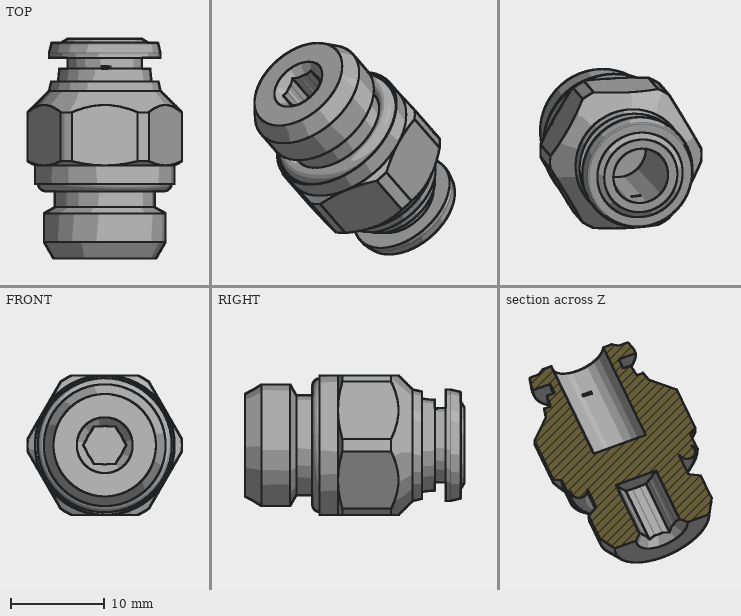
import cadquery as cq
import math

total_length = 23.6
chamfer_slope = math.tan(math.radians(30))

thread_radius = 6.54
thread_tip_radius = 5.5
thread_tip_length = (thread_radius - thread_tip_radius) / chamfer_slope
thread_end = 4.85
undercut_radius = 5.38
undercut_start = thread_end + (thread_radius - undercut_radius) * chamfer_slope

ring_outer_radius = 7.2
ring_front = 7.22
ring_section_radius = (ring_outer_radius - undercut_radius) / 2
ring_center_radius = undercut_radius + ring_section_radius
ring_center_y = ring_front + ring_section_radius
seat_mouth_radius = 7.45

across_flats = 15.0
corner_diameter = 16.6
flange_radius = across_flats / 2
corner_radius = corner_diameter / 2
flange_start = 8.0
hex_start = 10.0
hex_full_start = hex_start + (corner_radius - flange_radius) * chamfer_slope
shoulder_radius = 6.0
shoulder_y = 18.0
hex_full_end = shoulder_y - (corner_radius - shoulder_radius)
rim_radius = 5.75
body_end = 19.02

collar_base_radius = 5.03
collar_end_radius = 4.89
collar_end = 20.4

neck_radius = 4.01
button_start = 21.55
button_radius = shoulder_radius
button_taper_start = 22.07
button_rim_radius = rim_radius
button_edge_radius = 0.15
button_face_y = 23.18
lip_base_radius = 4.67
lip_end_radius = 4.01

socket_across_flats = 4.01
socket_drill_radius = 2.05
socket_depth = ring_front
socket_mouth_radius = 3.0
tube_radius = 3.0
tube_depth = 11.8
slot_width = 0.97
slot_end = 20.63
slot_angle = 2.3


def revolve_about_y(sketch):
    return sketch.close().revolve(360, (0, 0, 0), (0, 1, 0))


def hex_prism(flats, start, end):
    """Hexagon along Y with two corners on the X axis."""
    corner_to_corner = flats / math.cos(math.radians(30))
    plane = cq.Workplane("XZ", origin=(0, start, 0))
    return plane.polygon(6, corner_to_corner).extrude(start - end)


def ring_point(angle):
    """Point of the O-ring section, with the angle measured from outward toward +Y."""
    return (
        ring_center_radius + ring_section_radius * math.cos(angle),
        ring_center_y + ring_section_radius * math.sin(angle),
    )


def make_turned_body():
    mouth_out = seat_mouth_radius - ring_center_radius
    mouth_back = flange_start - ring_center_y
    mouth_distance = math.hypot(mouth_out, mouth_back)
    mouth_angle = math.atan2(mouth_back, mouth_out)
    contact_angle = mouth_angle + math.acos(ring_section_radius / mouth_distance)

    profile = (
        cq.Workplane("XY")
        .lineTo(thread_tip_radius, 0)
        .lineTo(thread_radius, thread_tip_length)
        .lineTo(thread_radius, thread_end)
        .lineTo(undercut_radius, undercut_start)
        .lineTo(undercut_radius, ring_center_y)
        .threePointArc(ring_point(-math.pi / 2), ring_point(0))
        .threePointArc(ring_point(contact_angle / 2), ring_point(contact_angle))
        .lineTo(seat_mouth_radius, flange_start)
        .lineTo(flange_radius, flange_start)
        .lineTo(flange_radius, hex_start)
        .lineTo(0, hex_start)
    )
    return revolve_about_y(profile)


def make_hex_body():
    """Hexagon with rounded corners, chamfered in front and coned down to a rim behind."""
    envelope = revolve_about_y(
        cq.Workplane("XY")
        .moveTo(0, hex_start)
        .lineTo(flange_radius, hex_start)
        .lineTo(corner_radius, hex_full_start)
        .lineTo(corner_radius, hex_full_end)
        .lineTo(shoulder_radius, shoulder_y)
        .lineTo(rim_radius, body_end)
        .lineTo(0, body_end)
    )
    return hex_prism(across_flats, hex_start, body_end).intersect(envelope)


def make_collet():
    profile = (
        cq.Workplane("XY")
        .moveTo(0, body_end)
        .lineTo(collar_base_radius, body_end)
        .lineTo(collar_end_radius, collar_end)
        .lineTo(neck_radius, collar_end)
        .lineTo(neck_radius, button_start)
        .lineTo(button_radius, button_start)
        .lineTo(button_radius, button_taper_start)
        .lineTo(button_rim_radius, button_face_y - button_edge_radius)
        .radiusArc((button_rim_radius - button_edge_radius, button_face_y), -button_edge_radius)
        .lineTo(lip_base_radius, button_face_y)
        .lineTo(lip_end_radius, total_length)
        .lineTo(0, total_length)
    )
    return revolve_about_y(profile)


def make_socket():
    """Hexagon socket, relieved by a slightly larger drill and countersunk at 90 degrees."""
    drill = cq.Workplane("XZ").circle(socket_drill_radius).extrude(-socket_depth)
    countersink = revolve_about_y(
        cq.Workplane("XY").lineTo(socket_mouth_radius, 0).lineTo(0, socket_mouth_radius)
    )
    return hex_prism(socket_across_flats, 0, socket_depth).union(drill).union(countersink)


def make_tube_bore():
    plane = cq.Workplane("XZ", origin=(0, total_length, 0))
    return plane.circle(tube_radius).extrude(tube_depth)


def make_collet_slot():
    """Slot through both walls of the collet neck, turned slightly about the Y axis."""
    slot = cq.Workplane("XY").box(slot_width, slot_end - collar_end, 3 * neck_radius)
    slot = slot.translate((0, (collar_end + slot_end) / 2, 0))
    return slot.rotate((0, 0, 0), (0, 1, 0), slot_angle)


outside = make_turned_body().union(make_hex_body()).union(make_collet())
result = outside.cut(make_socket()).cut(make_tube_bore()).cut(make_collet_slot())